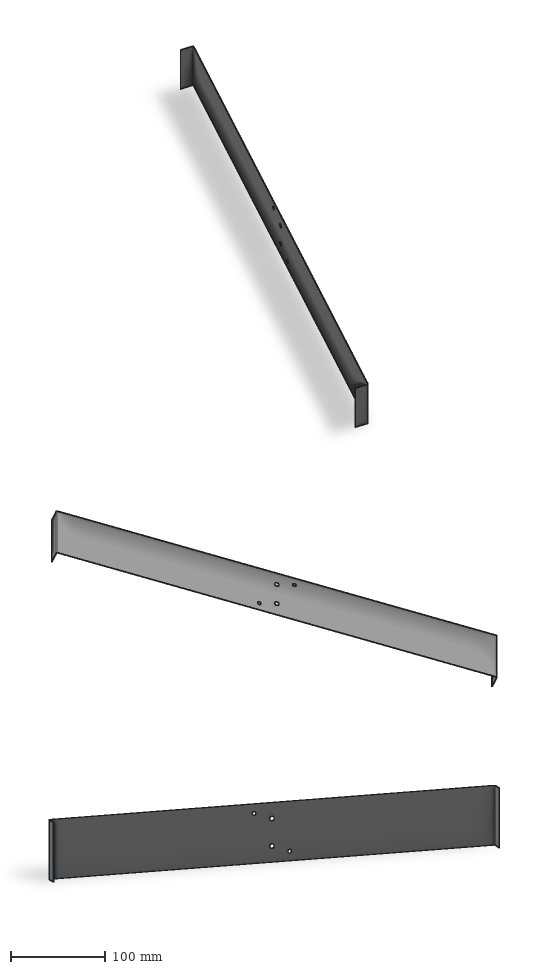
import cadquery as cq

inner_length = 500.0
flange_depth = 15.0
height = 65.0
sheet_thickness = 0.8
length = inner_length + 2 * sheet_thickness
inner_bend_radius = 0.5
outer_bend_radius = inner_bend_radius + sheet_thickness

large_hole_diameter = 5.0
large_hole_spacing = 30.0
small_hole_diameter = 4.0
small_hole_offset_x = 20.0
small_hole_offset_z = 22.0


def bent_strip():
    """Web in the XZ plane with a flange bent toward -Y at each end."""
    outer = (
        cq.Workplane("XY")
        .box(length, flange_depth, height)
        .edges("|Z and >Y")
        .fillet(outer_bend_radius)
    )
    inner = (
        cq.Workplane("XY")
        .box(inner_length, flange_depth, height)
        .edges("|Z and >Y")
        .fillet(inner_bend_radius)
        .translate((0, -sheet_thickness, 0))
    )
    return outer.cut(inner)


def web_holes(diameter, centres):
    """Cylinders along Y at the given (x, z) centres."""
    return (
        cq.Workplane("XZ")
        .pushPoints(centres)
        .circle(diameter / 2)
        .extrude(flange_depth, both=True)
    )


large_hole_centres = [(0, side * large_hole_spacing / 2) for side in (1, -1)]
small_hole_centres = [
    (-side * small_hole_offset_x, side * small_hole_offset_z) for side in (1, -1)
]

result = (
    bent_strip()
    .cut(web_holes(large_hole_diameter, large_hole_centres))
    .cut(web_holes(small_hole_diameter, small_hole_centres))
)